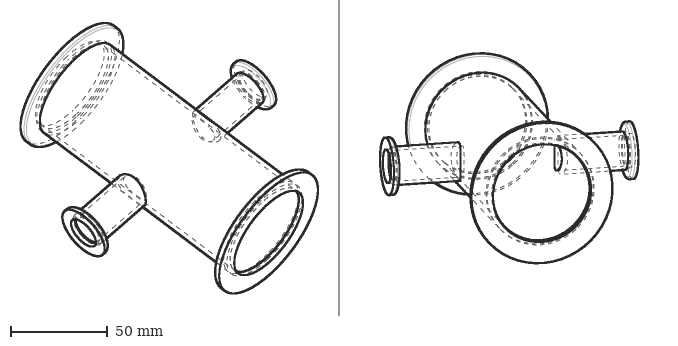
import cadquery as cq
import math

main_length = 140.0
branch_length = 130.0

main_outer_diameter = 57.0
main_bore = 52.0
branch_outer_diameter = 20.0
branch_bore = 16.0

main_flange_diameter = 75.0
main_flange_recess_diameter = 52.2
main_flange_recess_depth = 3.0
main_rim_width = 2.5
main_shoulder_radius = 1.0
branch_flange_diameter = 30.0
branch_flange_recess_diameter = 17.5
branch_flange_recess_depth = 3.0
branch_rim_width = 1.8
branch_shoulder_radius = 1.4
main_back_angle = 12.0
branch_back_angle = 15.0

main_tube_length = main_length - 2 * main_flange_recess_depth
branch_tube_length = branch_length - 2 * branch_flange_recess_depth


def rod_x(diameter, length):
    """Solid cylinder centred on the origin along X."""
    return cq.Workplane("YZ").circle(diameter / 2).extrude(length / 2, both=True)


def rod_y(diameter, length):
    """Solid cylinder centred on the origin along Y."""
    return cq.Workplane("XZ").circle(diameter / 2).extrude(length / 2, both=True)


def make_cross_tube():
    """Main tube with two opposite branches, both bores open into each other."""
    outside = rod_x(main_outer_diameter, main_tube_length).union(
        rod_y(branch_outer_diameter, branch_tube_length)
    )
    return outside.cut(rod_x(main_bore, main_tube_length)).cut(rod_y(branch_bore, branch_tube_length))


def make_flange(diameter, recess_diameter, recess_depth, rim_width, shoulder_radius, tube_diameter, back_angle):
    """Flange about X, sealing face at x = 0 and back toward +X, with a socket for its tube."""
    rim_radius = diameter / 2
    recess_radius = recess_diameter / 2
    tube_radius = tube_diameter / 2

    def shoulder_point(degrees):
        """Point (x, radius) on the shoulder arc, measured from the +X direction."""
        turn = math.radians(degrees)
        return (
            rim_width + shoulder_radius * math.cos(turn),
            rim_radius - shoulder_radius + shoulder_radius * math.sin(turn),
        )

    shoulder_end = shoulder_point(back_angle)
    taper_length = (shoulder_end[1] - tube_radius) * math.tan(math.radians(back_angle))
    thickness = shoulder_end[0] + taper_length

    return (
        cq.Workplane("XY")
        .moveTo(0, recess_radius)
        .lineTo(0, rim_radius)
        .lineTo(rim_width, rim_radius)
        .threePointArc(shoulder_point((90 + back_angle) / 2), shoulder_end)
        .lineTo(thickness, tube_radius)
        .lineTo(recess_depth, tube_radius)
        .lineTo(recess_depth, recess_radius)
        .close()
        .revolve(360, (0, 0, 0), (1, 0, 0))
    )


def place_flange(flange, length, angle):
    """Move a flange to the end of a run of the given length, then turn it about Z."""
    return flange.translate((-length / 2, 0, 0)).rotate((0, 0, 0), (0, 0, 1), angle)


cross_tube = make_cross_tube()

main_flange = make_flange(
    main_flange_diameter,
    main_flange_recess_diameter,
    main_flange_recess_depth,
    main_rim_width,
    main_shoulder_radius,
    main_outer_diameter,
    main_back_angle,
)
main_flanges = [place_flange(main_flange, main_length, angle) for angle in (0, 180)]

branch_flange = make_flange(
    branch_flange_diameter,
    branch_flange_recess_diameter,
    branch_flange_recess_depth,
    branch_rim_width,
    branch_shoulder_radius,
    branch_outer_diameter,
    branch_back_angle,
)
branch_flanges = [place_flange(branch_flange, branch_length, angle) for angle in (90, 270)]

flanges = main_flanges + branch_flanges
result = cq.Compound.makeCompound([cross_tube.val(), *[flange.val() for flange in flanges]])